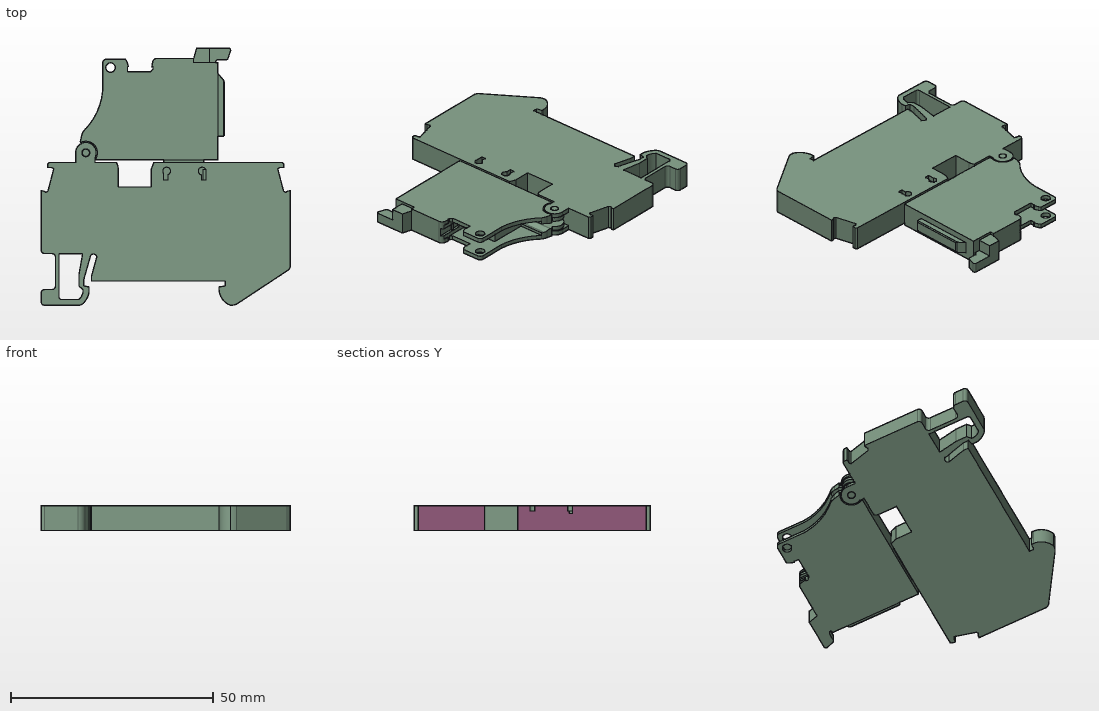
import cadquery as cq
import math

LENGTH = 61.6
HEIGHT = 63.6
THICK = 6.2
MID_Z = THICK / 2

BODY_TOP = 35.35
FOOT_X = 3.55
FOOT_STEP_Y = 3.95
RAIL_Y = 6.0
UNDERSIDE_Y = 12.8
SHOULDER_Y = 28.35
CORNER_RADIUS = 0.9
RECESS_LEFT, RECESS_RIGHT, RECESS_FLOOR = 19.1, 27.2, 29.3

HINGE_X, HINGE_Y = 11.05, 37.7
EAR_RADIUS = 2.55
EAR_NECK = 2.3
EAR_THICK = 1.15
EAR_CLEARANCE = 0.3
ARM_RADIUS = 2.3
ARM_GAP = 0.1
PIN_DIA, PIN_HOLE_DIA = 1.8, 2.0
HINGE_SLOT_WIDTH = 1.5
HINGE_SLOT_MOUTH = 2.55
HINGE_SLOT_TAPER = (40.9, 42.6)

COVER_BOTTOM = 35.9
COVER_LEFT, COVER_RIGHT, COVER_TOP = 15.2, 43.7, 61.05
LUG_TOP = 60.85
PLATE_THICK = 1.1
NOTCH_LEFT, NOTCH_RIGHT, NOTCH_FLOOR = 21.35, 27.6, 57.75
CURVE_TOP_Y = 53.05
CURVE_END = (10.55, 43.2)
CORE_LEFT = 17.35
LUG_HOLE_DIA = 2.3
LUG_HOLE = (17.2, 58.75)
GROOVE_WIDTH, GROOVE_DEPTH = 2.0, 0.65
GROOVE_BOTTOM = 57.05
WINDOW_Y = (54.6, 56.8)

TAB_BOTTOM = 59.95
TAB_LEFT = 37.7
TAB_STEP_X = 41.65
TAB_THICK, TAB_LOW_THICK = 5.55, 2.55

RIB_TOP, RIB_SHOULDER, RIB_BOTTOM = 57.35, 55.45, 41.8
RIB_OUT = 1.6
RIB_WIDTH = 3.0
RIB_CHAMFER = 0.25
PLUG_LEFT, PLUG_RIGHT = 30.3, 40.25

KEY_DIA, KEY_Y, KEY_FOOT_Y = 1.9, 33.2, 31.0
KEY_DEPTH, KEY_DEEP = 1.3, 1.9
KEY_LEFT_X, KEY_RIGHT_X = 31.05, 39.8
KEY_LEFT_SLOT = (30.3, 31.4)
KEY_RIGHT_SLOT = (39.6, 40.7)
KEY_CHANNEL_LEFT = 40.0


def box(x_range, y_range, z_range):
    """Block between the given limits."""
    (x0, x1), (y0, y1), (z0, z1) = x_range, y_range, z_range
    return cq.Workplane("XY").box(x1 - x0, y1 - y0, z1 - z0, centered=False).translate((x0, y0, z0))


def disc(x, y, radius, z_range):
    """Cylinder along Z."""
    z0, z1 = z_range
    return cq.Workplane("XY", origin=(x, y, z0)).circle(radius).extrude(z1 - z0)


def centred(width):
    """Z limits of a band of this width about the middle plane."""
    return MID_Z - width / 2, MID_Z + width / 2


def both_sides(inner, outer):
    """Z limits of two mirrored layers, given by their distances from the side faces."""
    return [(outer, inner), (THICK - inner, THICK - outer)]


def rounded_corner(outline, corner, into, out_of):
    """Continue an outline around a square corner, entering and leaving in the given directions."""
    x, y = corner
    radius = CORNER_RADIUS
    start = (x - radius * into[0], y - radius * into[1])
    end = (x + radius * out_of[0], y + radius * out_of[1])
    inset = radius * (1 - math.sqrt(0.5))
    middle = (x + inset * (out_of[0] - into[0]), y + inset * (out_of[1] - into[1]))
    return outline.lineTo(*start).threePointArc(middle, end)


def body_outline():
    left_wing = [(0, SHOULDER_Y), (0.6, 28.3), (1.15, 28.0), (1.65, 28.2), (3.1, 33.75), (2.6, 34.0),
                 (1.65, 34.1), (1.65, 34.9), (2.05, BODY_TOP)]
    right_wing = [(LENGTH - x, y) for x, y in reversed(left_wing)]
    outline = (
        cq.Workplane("XY")
        .moveTo(*left_wing[0])
        .polyline(left_wing[1:], includeCurrent=True)
        .lineTo(18.6, BODY_TOP)
        .threePointArc((18.95, 34.65), (RECESS_LEFT, 33.9))
        .lineTo(RECESS_LEFT, RECESS_FLOOR)
        .lineTo(RECESS_RIGHT, RECESS_FLOOR)
        .lineTo(RECESS_RIGHT, 33.7)
        .lineTo(27.85, BODY_TOP)
        .polyline(right_wing, includeCurrent=True)
        .lineTo(LENGTH, 9.7)
        .threePointArc((61.35, 9.0), (60.8, 8.5))
        .lineTo(48.25, 0.25)
        .threePointArc((47.55, 0.05), (46.8, 0))
        .threePointArc((44.9, 1.4), (43.95, 4.1))
        .lineTo(43.95, 4.6)
        .lineTo(45.45, 4.85)
        .lineTo(45.45, RAIL_Y)
        .lineTo(12.45, RAIL_Y)
        .lineTo(12.45, 7.3)
        .lineTo(13.75, 11.95)
        .threePointArc((13.05, 12.65), (12.3, 12.35))
        .lineTo(10.55, 6.3)
        .lineTo(10.55, 4.85)
        .lineTo(11.9, 4.6)
        .lineTo(11.9, 3.4)
        .threePointArc((11.6, 2.15), (10.8, 0.95))
        .threePointArc((10.1, 0.25), (9.15, 0))
    )
    right, left, up = (1, 0), (-1, 0), (0, 1)
    corners = [
        ((0, 0), left, up),
        ((0, FOOT_STEP_Y), up, right),
        ((FOOT_X, FOOT_STEP_Y), right, up),
        ((FOOT_X, UNDERSIDE_Y), up, left),
        ((0, UNDERSIDE_Y), left, up),
    ]
    for corner, into, out_of in corners:
        outline = rounded_corner(outline, corner, into, out_of)
    return outline.close()


def foot_window():
    return (
        cq.Workplane("XY")
        .moveTo(4.45, 12.7)
        .lineTo(10.25, 12.7)
        .lineTo(9.35, 7.7)
        .lineTo(9.35, 4.8)
        .lineTo(10.35, 3.9)
        .threePointArc((10.1, 2.55), (9.35, 1.45))
        .lineTo(5.1, 1.45)
        .threePointArc((4.65, 1.65), (4.45, 2.1))
        .close()
        .extrude(THICK)
    )


def hinge_ears():
    ears = cq.Workplane("XY")
    ear_x = (HINGE_X - EAR_RADIUS, HINGE_X + EAR_NECK)
    for layer in both_sides(EAR_THICK, 0):
        ears = ears.union(box(ear_x, (RECESS_FLOOR, HINGE_Y), layer))
        ears = ears.union(disc(HINGE_X, HINGE_Y, EAR_RADIUS, layer))
    return ears.cut(disc(HINGE_X, HINGE_Y, PIN_HOLE_DIA / 2, (0, THICK)))


def keyhole(x, slot_x):
    depth = (THICK - KEY_DEPTH, THICK)
    return disc(x, KEY_Y, KEY_DIA / 2, depth).union(box(slot_x, (KEY_FOOT_Y, KEY_Y), depth))


def terminal_body():
    body = body_outline().extrude(THICK).cut(foot_window()).union(hinge_ears())
    body = body.cut(keyhole(KEY_LEFT_X, KEY_LEFT_SLOT))
    body = body.cut(keyhole(KEY_RIGHT_X, KEY_RIGHT_SLOT))
    channel_x = (KEY_CHANNEL_LEFT, KEY_RIGHT_SLOT[1])
    channel_top = KEY_Y + math.sqrt((KEY_DIA / 2) ** 2 - (channel_x[1] - KEY_RIGHT_X) ** 2)
    return body.cut(box(channel_x, (KEY_FOOT_Y, channel_top), (THICK - KEY_DEEP, THICK - KEY_DEPTH)))


def cover_outline():
    return (
        cq.Workplane("XY")
        .moveTo(HINGE_X, COVER_BOTTOM)
        .lineTo(COVER_RIGHT, COVER_BOTTOM)
        .lineTo(COVER_RIGHT, TAB_BOTTOM)
        .lineTo(TAB_LEFT, TAB_BOTTOM)
        .lineTo(TAB_LEFT, COVER_TOP)
        .lineTo(28.6, COVER_TOP)
        .threePointArc((27.85, 60.7), (27.55, 60.1))
        .lineTo(27.35, 58.95)
        .lineTo(NOTCH_RIGHT, 58.95)
        .lineTo(NOTCH_RIGHT, 58.4)
        .lineTo(27.0, NOTCH_FLOOR)
        .lineTo(NOTCH_LEFT, NOTCH_FLOOR)
        .lineTo(NOTCH_LEFT, 58.95)
        .lineTo(21.6, 59.0)
        .lineTo(21.25, 60.2)
        .lineTo(20.85, LUG_TOP)
        .lineTo(16.0, LUG_TOP)
        .threePointArc((15.45, 60.55), (COVER_LEFT, 59.9))
        .lineTo(COVER_LEFT, CURVE_TOP_Y)
        .threePointArc((13.75, 47.6), CURVE_END)
        .threePointArc((10.25, 42.6), (10.0, 41.85))
        .lineTo(9.65, 40.45)
        .lineTo(HINGE_X, HINGE_Y)
        .close()
    )


def hinge_slot():
    """Tapered opening between the cover arms, open to the left."""
    narrow, wide = HINGE_SLOT_WIDTH / 2, HINGE_SLOT_MOUTH / 2
    taper_start, taper_end = HINGE_SLOT_TAPER
    bottom = HINGE_Y - EAR_RADIUS
    top = CURVE_END[1]
    right_edge = [(bottom, narrow), (taper_start, narrow), (taper_end, wide), (top, wide)]
    left_edge = [(y, -z) for y, z in reversed(right_edge)]
    return (
        cq.Workplane("YZ")
        .polyline([(y, MID_Z + z) for y, z in right_edge + left_edge])
        .close()
        .extrude(CORE_LEFT)
    )


def fuse_cover():
    cover = cover_outline().extrude(THICK)
    arm = (EAR_THICK + ARM_GAP, THICK - EAR_THICK - ARM_GAP)
    cover = cover.union(disc(HINGE_X, HINGE_Y, ARM_RADIUS, arm))
    pocket_radius = EAR_RADIUS + EAR_CLEARANCE
    pocket_x = (HINGE_X - pocket_radius, HINGE_X + EAR_RADIUS)
    for layer in both_sides(EAR_THICK + ARM_GAP, 0):
        cover = cover.cut(disc(HINGE_X, HINGE_Y, pocket_radius, layer))
        cover = cover.cut(box(pocket_x, (COVER_BOTTOM, HINGE_Y), layer))
    between_plates = centred(THICK - 2 * PLATE_THICK)
    cover = cover.cut(box((0, NOTCH_RIGHT), (CURVE_TOP_Y, HEIGHT), between_plates))
    cover = cover.cut(box((0, CORE_LEFT), (CURVE_END[1], CURVE_TOP_Y), between_plates))
    cover = cover.cut(hinge_slot())
    groove_x = (NOTCH_RIGHT - GROOVE_DEPTH, NOTCH_RIGHT + GROOVE_DEPTH)
    for y_range in [(GROOVE_BOTTOM, COVER_TOP), WINDOW_Y]:
        cover = cover.cut(box(groove_x, y_range, centred(GROOVE_WIDTH)))
    for layer in both_sides(EAR_THICK + 2 * ARM_GAP, 0):
        cover = cover.union(disc(HINGE_X, HINGE_Y, PIN_DIA / 2, layer))
    return cover.cut(disc(*LUG_HOLE, LUG_HOLE_DIA / 2, (0, THICK)))


def latch_tab():
    tab = (
        cq.Workplane("XY")
        .moveTo(TAB_LEFT, TAB_BOTTOM)
        .lineTo(TAB_LEFT, COVER_TOP)
        .lineTo(38.4, HEIGHT)
        .lineTo(46.4, HEIGHT)
        .threePointArc((46.75, 63.4), (46.85, 62.95))
        .lineTo(46.15, 60.9)
        .lineTo(45.85, 60.65)
        .lineTo(43.55, 60.65)
        .threePointArc((43.25, 60.4), (43.1, TAB_BOTTOM))
        .close()
        .extrude(TAB_THICK)
    )
    return tab.cut(box((TAB_STEP_X, LENGTH), (TAB_BOTTOM, HEIGHT), (TAB_LOW_THICK, THICK)))


def side_rib():
    outer_x = COVER_RIGHT + RIB_OUT
    points = [
        (COVER_RIGHT, RIB_TOP),
        (outer_x, RIB_SHOULDER),
        (outer_x, RIB_BOTTOM),
        (COVER_RIGHT, RIB_BOTTOM),
    ]
    z0, z1 = centred(RIB_WIDTH)
    rib = cq.Workplane("XY", origin=(0, 0, z0)).polyline(points).close().extrude(z1 - z0)
    return rib.faces(">X").edges().chamfer(RIB_CHAMFER)


def plug():
    return box((PLUG_LEFT, PLUG_RIGHT), (BODY_TOP, COVER_BOTTOM), centred(RIB_WIDTH))


result = terminal_body().union(fuse_cover()).union(latch_tab()).union(side_rib()).union(plug())